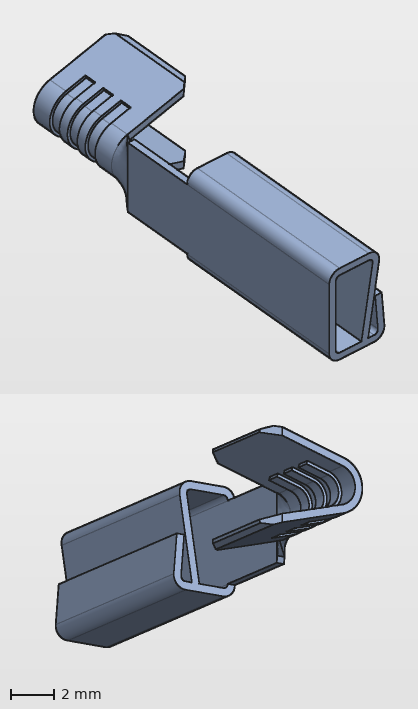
import cadquery as cq
import math

sheet = 0.4
total_length = 21.08

barrel_length = 5.55
barrel_radius = 1.37
barrel_inner_radius = barrel_radius - sheet
barrel_depth = 5.16
arm_angle = math.radians(16)
corner_cut = 0.78
bevel_length = 0.38
bevel_depth = 0.23

groove_count = 3
groove_start = 1.15
groove_width = 0.7
groove_pitch = 1.26
groove_depth = 0.17
groove_arm_length = 1.22

step_length = 0.15
step_half_width = 1.7
step_recess = 0.06
neck_start = 6.72

sleeve_start = 10.95
sleeve_half_height = 2.64
bend_radius = 0.63
inner_bend_radius = bend_radius - sheet
neck_half_width = sleeve_half_height - bend_radius
inner_fold_y = 2.4
inner_lean = math.radians(9.2)
outer_fold_y = 2.72
outer_lean = math.radians(4.8)
outer_flap_end_z = 0.0
inner_flap_end_z = -(sleeve_half_height - sheet)


def section_plane(x):
    """Plane across the part at x, with local axes along Y and Z."""
    return cq.Workplane("YZ", origin=(x, 0, 0))


def arm_point(radius, side, distance):
    """Point on an arm, at a distance past the end of the arc of the given radius."""
    y = barrel_radius - radius * math.sin(arm_angle) + distance * math.cos(arm_angle)
    z = radius * math.cos(arm_angle) + distance * math.sin(arm_angle)
    return y, side * z


def u_section(x, outer_radius, inner_radius, arm_length=0.0):
    """U-shaped band between two concentric radii, with straight arms if they have a length."""
    section = section_plane(x).moveTo(*arm_point(outer_radius, -1, arm_length))
    if arm_length > 0:
        section = section.lineTo(*arm_point(outer_radius, -1, 0))
    section = section.threePointArc((barrel_radius - outer_radius, 0), arm_point(outer_radius, 1, 0))
    if arm_length > 0:
        section = section.lineTo(*arm_point(outer_radius, 1, arm_length))
    section = section.lineTo(*arm_point(inner_radius, 1, arm_length))
    if arm_length > 0:
        section = section.lineTo(*arm_point(inner_radius, 1, 0))
    section = section.threePointArc((barrel_radius - inner_radius, 0), arm_point(inner_radius, -1, 0))
    if arm_length > 0:
        section = section.lineTo(*arm_point(inner_radius, -1, arm_length))
    return section.close()


def make_barrel():
    """U-shaped barrel with bevelled arm tips and cut corners."""
    tangent_y = arm_point(barrel_inner_radius, 1, 0)[0]
    arm_length = (barrel_depth - tangent_y) / math.cos(arm_angle)
    barrel = u_section(0, barrel_radius, barrel_inner_radius, arm_length).extrude(barrel_length)

    for side in (-1, 1):
        tip_bevel = (
            section_plane(0)
            .moveTo(*arm_point(barrel_radius, side, arm_length - bevel_length))
            .lineTo(*arm_point(barrel_radius, side, arm_length))
            .lineTo(*arm_point(barrel_radius - bevel_depth, side, arm_length))
            .close()
            .extrude(barrel_length)
        )
        barrel = barrel.cut(tip_bevel)

    for end_x, inward in ((0, 1), (barrel_length, -1)):
        corner = (
            cq.Workplane("XY")
            .polyline([
                (end_x, barrel_depth),
                (end_x + inward * corner_cut, barrel_depth),
                (end_x, barrel_depth - corner_cut),
            ])
            .close()
            .extrude(barrel_depth, both=True)
        )
        barrel = barrel.cut(corner)
    return barrel


def press_grooves(barrel):
    """Sink each groove into the outside and raise the same depth on the inside."""
    for index in range(groove_count):
        x = groove_start + index * groove_pitch
        groove = u_section(x, barrel_radius, barrel_radius - groove_depth, groove_arm_length)
        rib = u_section(x, barrel_inner_radius, barrel_inner_radius - groove_depth, groove_arm_length)
        barrel = barrel.cut(groove.extrude(groove_width)).union(rib.extrude(groove_width))
    return barrel


def flat_section(x, outer_y, half_width):
    """Rectangular sheet section, wound the same way as the U section."""
    return section_plane(x).polyline([
        (outer_y, -half_width),
        (outer_y, half_width),
        (outer_y + sheet, half_width),
        (outer_y + sheet, -half_width),
    ]).close()


def make_transition():
    """Sheet that opens from the round back of the barrel to the flat neck."""
    sections = [
        u_section(barrel_length, barrel_radius, barrel_inner_radius),
        flat_section(neck_start - step_length, step_recess, step_half_width),
        flat_section(neck_start, 0, neck_half_width),
    ]
    wires = [section.wire().val() for section in sections]
    return cq.Workplane(cq.Solid.makeLoft(wires, True))


def make_sleeve_half(side, fold_y, lean, flap_end_z):
    """Half of the base, one side wall and its flap, with side = 1 for the upper half."""
    def bend_point(center_y, radius, angle):
        y = center_y + radius * math.cos(angle)
        return y, side * (neck_half_width + radius * math.sin(angle))

    def flap_end(radius):
        start_y, start_z = bend_point(fold_y, radius, -lean)
        drop = side * start_z - flap_end_z
        return start_y - drop * math.tan(lean), side * flap_end_z

    quarter = math.pi / 2
    diagonal = 0.75 * math.pi
    fold_middle = (quarter - lean) / 2
    half = (
        section_plane(sleeve_start)
        .moveTo(0, 0)
        .lineTo(*bend_point(bend_radius, bend_radius, math.pi))
        .threePointArc(
            bend_point(bend_radius, bend_radius, diagonal),
            bend_point(bend_radius, bend_radius, quarter),
        )
        .lineTo(*bend_point(fold_y, bend_radius, quarter))
        .threePointArc(
            bend_point(fold_y, bend_radius, fold_middle),
            bend_point(fold_y, bend_radius, -lean),
        )
        .lineTo(*flap_end(bend_radius))
        .lineTo(*flap_end(inner_bend_radius))
        .lineTo(*bend_point(fold_y, inner_bend_radius, -lean))
        .threePointArc(
            bend_point(fold_y, inner_bend_radius, fold_middle),
            bend_point(fold_y, inner_bend_radius, quarter),
        )
        .lineTo(*bend_point(bend_radius, inner_bend_radius, quarter))
        .threePointArc(
            bend_point(bend_radius, inner_bend_radius, diagonal),
            bend_point(bend_radius, inner_bend_radius, math.pi),
        )
        .lineTo(sheet, 0)
        .close()
    )
    return half.extrude(total_length - sleeve_start)


neck = flat_section(neck_start, 0, neck_half_width).extrude(sleeve_start - neck_start)
upper_half = make_sleeve_half(1, inner_fold_y, inner_lean, inner_flap_end_z)
lower_half = make_sleeve_half(-1, outer_fold_y, outer_lean, outer_flap_end_z)

result = (
    press_grooves(make_barrel())
    .union(make_transition())
    .union(neck)
    .union(upper_half)
    .union(lower_half)
)